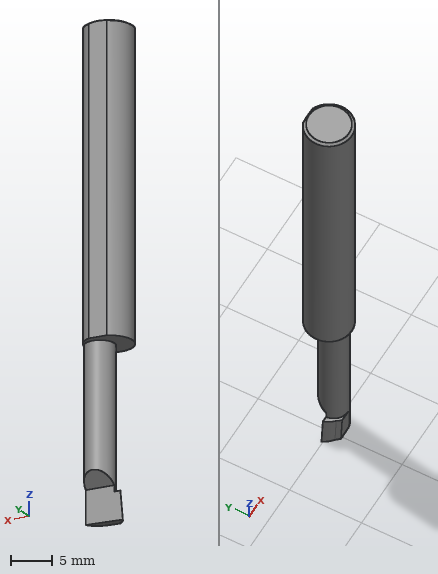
import cadquery as cq
import math

total_length = 63.5
shank_diameter = 6.35
shank_radius = shank_diameter / 2
shank_flat_y = 2.925
chamfer_width = 0.4
chamfer_height = 0.23

neck_length = 22.86
neck_diameter = 3.9
neck_radius = neck_diameter / 2
neck_x = shank_radius - neck_radius

relief_start_z = 4.6
relief_end_z = 6.3

head_height = 3.8
tip_x = -1.89
flank_corner = (-1.0, -1.34)
heel_corner_x = -0.55
flank_mid = (-1.53, -0.70)
side_lean = 0.33

end_rise_x = math.radians(1.5)
end_rise_y = math.radians(8)


def make_shank():
    """Chamfered round shank with a flat along its +Y side."""
    shank = (
        cq.Workplane("XY", origin=(0, 0, neck_length))
        .circle(shank_radius)
        .extrude(total_length - neck_length)
        .faces(">Z")
        .chamfer(chamfer_height, chamfer_width)
    )
    flat_stock = cq.Workplane("XY").box(
        shank_diameter, shank_radius, total_length, centered=(True, False, False)
    )
    return shank.cut(flat_stock.translate((0, shank_flat_y, 0)))


def make_neck():
    """Round neck cut away to half its section near the tip."""
    neck = cq.Workplane("XY").center(neck_x, 0).circle(neck_radius).extrude(neck_length)
    relief = (
        cq.Workplane("YZ")
        .polyline([
            (0, 0),
            (0, relief_start_z),
            (neck_radius, relief_end_z),
            (neck_diameter, relief_end_z),
            (neck_diameter, 0),
        ])
        .close()
        .extrude(shank_diameter, both=True)
    )
    return neck.cut(relief)


def head_section(plane, lean):
    """Head outline on the given plane, with the flank shifted by lean along X."""
    return (
        plane.moveTo(neck_x, 0)
        .lineTo(tip_x + lean, 0)
        .threePointArc((flank_mid[0] + lean, flank_mid[1]), (flank_corner[0] + lean, flank_corner[1]))
        .lineTo(heel_corner_x + lean, -neck_radius)
        .lineTo(neck_x, -neck_radius)
        .close()
    )


def make_head():
    """Leaning cutting head, lofted from its bottom to its top section."""
    bottom = head_section(cq.Workplane("XY"), 0)
    return head_section(bottom.workplane(offset=head_height), side_lean).loft(ruled=True)


def make_end_relief():
    """Wedge below the plane that rises from the tip toward +X and -Y."""
    normal = cq.Vector(-math.tan(end_rise_x), math.tan(end_rise_y), 1)
    plane = cq.Plane(origin=(tip_x, 0, 0), xDir=(1, 0, math.tan(end_rise_x)), normal=normal)
    return cq.Workplane(plane).rect(2 * total_length, 2 * total_length).extrude(-shank_diameter)


tip = make_neck().union(make_head()).cut(make_end_relief())
result = make_shank().union(tip)